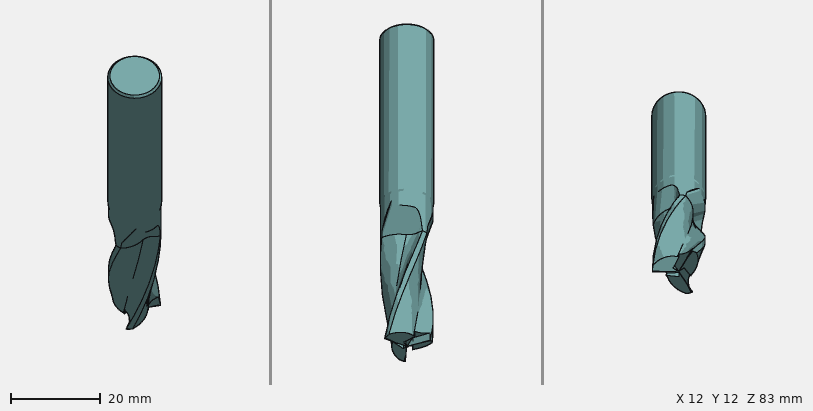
import cadquery as cq
import math

total_length = 83.0
shank_radius = 6.02
cutter_radius = 5.9
cutting_length = 28.0
neck_top = 37.85
shoulder_height = 0.5
top_chamfer = 0.5

flute_count = 3
flute_pitch_angle = 360.0 / flute_count
helix_angle = 19.0
lead_azimuth = 180.0
land_angle = 13.0
web_radius = 3.15
web_azimuth = 262.0
back_bulge = 0.7
face_radius = 5.0
face_lag = 3.6
gullet_sag = 0.3
clear_radius = 20.75

runout_slope = 0.42
runout_lean = 0.35
runout_height = 11.6
flank_length = 0.8
flank_angle = 65.0

end_relief_angle = 18.0
dish_angle = 2.0
dish_radius = 2.8
gash_width = 1.4
gash_height = 2.4
gash_rake_angle = 15.0

twist_angle = math.degrees(cutting_length * math.tan(math.radians(helix_angle)) / cutter_radius)


def polar(radius, azimuth):
    angle = math.radians(azimuth)
    return (radius * math.cos(angle), radius * math.sin(angle))


def chord_offset(start, end, offset):
    """Middle of the chord, moved to the right of its direction by the offset."""
    dx = end[0] - start[0]
    dy = end[1] - start[1]
    length = math.hypot(dx, dy)
    return (
        (start[0] + end[0]) / 2 + offset * dy / length,
        (start[1] + end[1]) / 2 - offset * dx / length,
    )


def tooth_points(index, turn):
    """Outline points from one cutting edge over its land and flute to the next edge."""
    shift = turn + index * flute_pitch_angle
    edge = polar(cutter_radius, lead_azimuth + shift)
    land_middle = polar(cutter_radius, lead_azimuth + land_angle / 2 + shift)
    heel = polar(cutter_radius, lead_azimuth + land_angle + shift)
    crease = polar(web_radius, web_azimuth + shift)
    next_edge = polar(cutter_radius, lead_azimuth + flute_pitch_angle + shift)
    back_middle = chord_offset(heel, crease, back_bulge)
    face_start = polar(face_radius, lead_azimuth + flute_pitch_angle - face_lag + shift)
    gullet_middle = chord_offset(crease, face_start, -gullet_sag)
    return edge, land_middle, heel, back_middle, crease, gullet_middle, face_start, next_edge


def cutter_blank():
    """Twisted bar with three lands, convex tooth backs and concave gullets."""
    outline = cq.Workplane("XY").moveTo(*tooth_points(0, 0)[0])
    for index in range(flute_count):
        points = tooth_points(index, 0)
        _, land_middle, heel, back_middle, crease, gullet_middle, face_start, next_edge = points
        outline = outline.threePointArc(land_middle, heel)
        outline = outline.threePointArc(back_middle, crease)
        outline = outline.threePointArc(gullet_middle, face_start).lineTo(*next_edge)
    return outline.close().twistExtrude(cutting_length, twist_angle)


def end_relief(index):
    """Wedge under one tooth that rises behind its end cutting edge."""
    sector = (
        cq.Workplane("XY")
        .polyline([
            (0, 0),
            polar(clear_radius, lead_azimuth),
            polar(clear_radius, lead_azimuth + flute_pitch_angle / 2),
            polar(clear_radius, lead_azimuth + flute_pitch_angle),
        ])
        .close()
        .extrude(2 * clear_radius, both=True)
    )
    below = (
        cq.Workplane("XY")
        .box(4 * clear_radius, 4 * clear_radius, clear_radius, centered=(True, True, False))
        .translate((0, 0, -clear_radius))
        .rotate((0, 0, 0), (1, 0, 0), -end_relief_angle)
        .translate((dish_radius, 0, 0))
        .rotate((0, 0, 0), (0, 1, 0), -dish_angle)
        .translate((-dish_radius, 0, 0))
    )
    return sector.intersect(below).rotate((0, 0, 0), (0, 0, 1), index * flute_pitch_angle)


def gash(index):
    """Notch in front of one end cutting edge, along its radius."""
    wall_lean = gash_height * math.tan(math.radians(gash_rake_angle))
    return (
        cq.Workplane("YZ")
        .polyline([
            (0, 0),
            (gash_width, 0),
            (gash_width, gash_height),
            (-wall_lean, gash_height),
        ])
        .close()
        .extrude(-clear_radius)
        .rotate((0, 0, 0), (0, 0, 1), index * flute_pitch_angle)
    )


def flute_runout(index):
    """Flute section carried on in a straight line, rising out of the neck."""
    _, _, heel, back_middle, crease, gullet_middle, face_start, edge = tooth_points(index, twist_angle)
    shift = twist_angle + index * flute_pitch_angle
    azimuth = math.radians(web_azimuth + shift)
    outward = (math.cos(azimuth), math.sin(azimuth))
    flank = polar(flank_length, lead_azimuth + land_angle - flank_angle + shift)
    heel_side = (heel[0] + flank[0], heel[1] + flank[1])
    heel_corner = polar(clear_radius, lead_azimuth + land_angle + shift)
    edge_side = polar(clear_radius, lead_azimuth + flute_pitch_angle + shift)
    travel = cq.Vector(
        runout_height * (runout_slope * outward[0] - runout_lean * outward[1]),
        runout_height * (runout_slope * outward[1] + runout_lean * outward[0]),
        runout_height,
    )
    outline = (
        cq.Workplane("XY", origin=(0, 0, cutting_length))
        .moveTo(*heel)
        .threePointArc(back_middle, crease)
        .threePointArc(gullet_middle, face_start)
        .lineTo(*edge)
        .lineTo(*edge_side)
        .lineTo(*heel_corner)
        .lineTo(*heel_side)
        .close()
    )
    return cq.Solid.extrudeLinear(outline.val(), [], travel)


def make_cutting_head():
    head = cutter_blank()
    for index in range(flute_count):
        head = head.cut(end_relief(index)).cut(gash(index))
    return head


def make_shank():
    shank = (
        cq.Workplane("XZ")
        .polyline([
            (0, cutting_length),
            (cutter_radius, cutting_length),
            (cutter_radius, neck_top),
            (shank_radius, neck_top + shoulder_height),
            (shank_radius, total_length - top_chamfer),
            (shank_radius - top_chamfer, total_length),
            (0, total_length),
        ])
        .close()
        .revolve(360, (0, 0, 0), (0, 1, 0))
    )
    for index in range(flute_count):
        shank = shank.cut(cq.Workplane(flute_runout(index)))
    return shank


cutting_head = make_cutting_head()
shank = make_shank()

result = cq.Compound.makeCompound([cutting_head.solids().val(), shank.solids().val()])